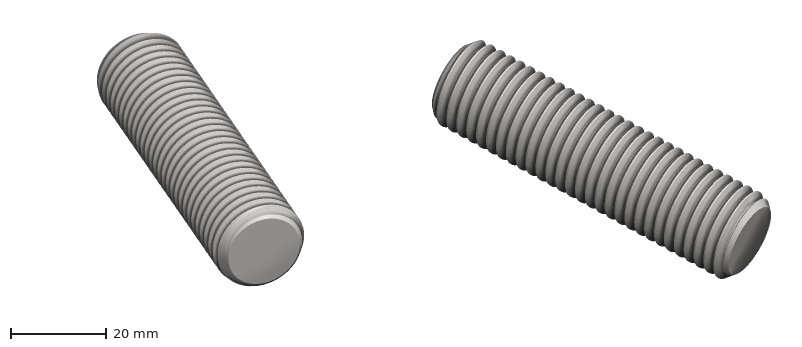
import cadquery as cq
import math

length = 75.0
major_radius = 10.0
pitch = 2.5
end_face_radius = 8.0

flank_slope = math.tan(math.radians(30))
sharp_height = pitch / 2 / flank_slope
thread_depth = sharp_height * 17 / 24
root_radius = major_radius - thread_depth
crest_flat = pitch / 8

first_crest = 0.42

ridge_embed = 0.03
lead_in_turns = 1
ridge_turns = math.ceil(length / pitch) + 2 * lead_in_turns

cone_overrun = 0.5


def make_end_cones():
    """Envelope along Z whose 45 degree cones bevel both ends of the thread."""
    envelope_radius = major_radius + cone_overrun
    bevel = envelope_radius - end_face_radius
    return cq.Workplane("XY").circle(envelope_radius).extrude(length).faces("<Z or >Z").chamfer(bevel)


def make_core():
    """Round bar along Z at the thread root."""
    return cq.Workplane("XY").circle(root_radius).extrude(length)


def make_ridge():
    """Right-handed trapezoidal ridge wound around Z, starting on the +X side."""
    start = first_crest - lead_in_turns * pitch
    foot_radius = root_radius - ridge_embed
    half_crest = crest_flat / 2
    half_foot = half_crest + (major_radius - foot_radius) * flank_slope
    helix = cq.Wire.makeHelix(pitch, ridge_turns * pitch, root_radius).translate(cq.Vector(0, 0, start))
    profile = cq.Workplane("XZ").polyline([
        (foot_radius, start - half_foot),
        (major_radius, start - half_crest),
        (major_radius, start + half_crest),
        (foot_radius, start + half_foot),
    ]).close()
    return profile.sweep(cq.Workplane(obj=helix), isFrenet=True)


end_cones = make_end_cones()
core = make_core().intersect(end_cones)
ridge = make_ridge().intersect(end_cones, clean=False)
stud = core.union(ridge, clean=False).solids()

result = stud.rotate((0, 0, 0), (0, 0, 1), 180).rotate((0, 0, 0), (0, 1, 0), 90)